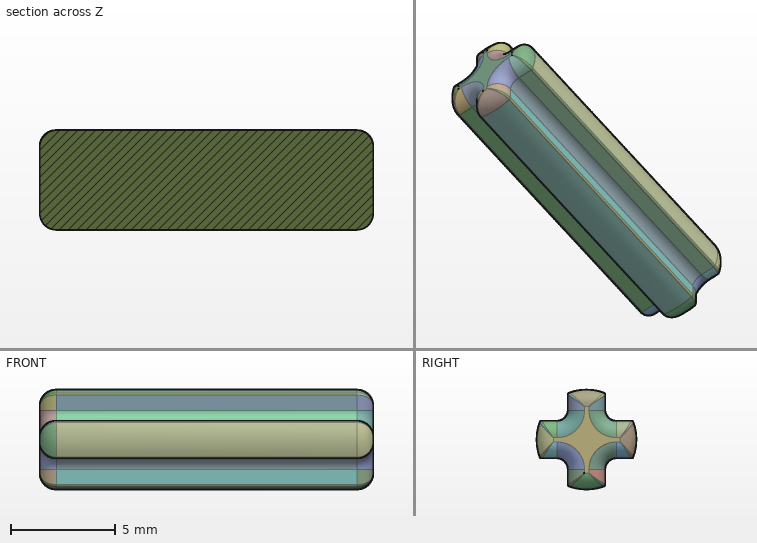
import cadquery as cq

length = 16.0
outer_diameter = 4.8
arm_width = 1.8
inner_corner_radius = 0.51
end_radius = 0.8
arm_edge_radius = 0.11

half_length = length / 2
half_arm = arm_width / 2


def cross_bar():
    """Two crossed slabs trimmed to a cylinder, so the arm tips are arcs."""
    upright = cq.Workplane("XY").box(length, arm_width, outer_diameter)
    level = cq.Workplane("XY").box(length, outer_diameter, arm_width)
    envelope = cq.Workplane("YZ").circle(outer_diameter / 2).extrude(half_length, both=True)
    return upright.union(level).intersect(envelope)


def long_edges(body, inner):
    """Lengthwise edges: the four inner corners or the eight arm-tip corners."""
    def wanted(edge):
        center = edge.Center()
        at_inner_corner = max(abs(center.y), abs(center.z)) < half_arm + arm_edge_radius
        on_arm_side = min(abs(center.y), abs(center.z)) > half_arm / 2
        return on_arm_side and at_inner_corner == inner

    edges = body.edges("|X").vals()
    return body.newObject([edge for edge in edges if wanted(edge)])


bar = cross_bar()
bar = long_edges(bar, inner=True).fillet(inner_corner_radius)

bar = bar.faces("<X or >X").edges().fillet(end_radius)
result = long_edges(bar, inner=False).fillet(arm_edge_radius)